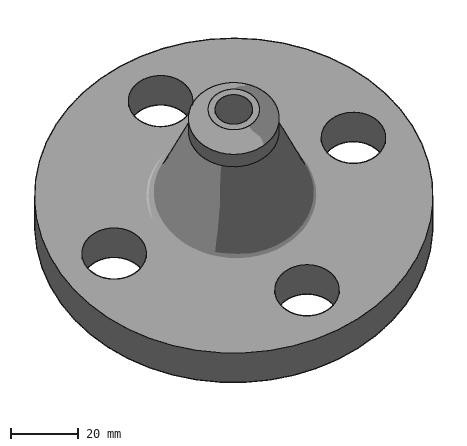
import cadquery as cq

flange_diameter = 117.3
face_diameter = 42.9
face_height = 1.6
flange_thickness = 14.2

total_height = 57.3
hub_base_diameter = 47.9
hub_fillet_radius = 2.9
neck_diameter = 26.7
neck_length = 6.0
neck_tip_diameter = 15.1
bevel_height = 4.3
bore_diameter = 11.0

bolt_hole_count = 4
bolt_hole_diameter = 19.0
bolt_circle_diameter = 82.6

flange_top = face_height + flange_thickness
bevel_start = total_height - bevel_height
neck_start = bevel_start - neck_length


def make_flange_body():
    """Revolve the flange, raised face, hub and bevelled neck about the Z axis."""
    profile = (
        cq.Workplane("XZ")
        .moveTo(0, 0)
        .lineTo(face_diameter / 2, 0)
        .lineTo(face_diameter / 2, face_height)
        .lineTo(flange_diameter / 2, face_height)
        .lineTo(flange_diameter / 2, flange_top)
        .lineTo(hub_base_diameter / 2, flange_top)
        .lineTo(neck_diameter / 2, neck_start)
        .lineTo(neck_diameter / 2, bevel_start)
        .lineTo(neck_tip_diameter / 2, total_height)
        .lineTo(0, total_height)
        .close()
    )
    return profile.revolve(360, (0, 0, 0), (0, 1, 0))


def fillet_hub_base(body):
    """Round the inside corner where the hub meets the flange."""
    corner_reach = hub_base_diameter / 2 + hub_fillet_radius
    corner_box = cq.selectors.BoxSelector(
        (-corner_reach, -corner_reach, flange_top - hub_fillet_radius),
        (corner_reach, corner_reach, flange_top + hub_fillet_radius),
        boundingbox=True,
    )
    hub_base_edge = body.edges(corner_box)
    return hub_base_edge.fillet(hub_fillet_radius)


def make_bore():
    """Cylinder through the full height on the axis."""
    return cq.Workplane("XY").circle(bore_diameter / 2).extrude(total_height)


def make_bolt_holes():
    """Cylinders through the flange, equally spaced from the +X axis."""
    return (
        cq.Workplane("XY")
        .polarArray(bolt_circle_diameter / 2, 0, 360, bolt_hole_count)
        .circle(bolt_hole_diameter / 2)
        .extrude(flange_top)
    )


result = fillet_hub_base(make_flange_body()).cut(make_bore()).cut(make_bolt_holes())